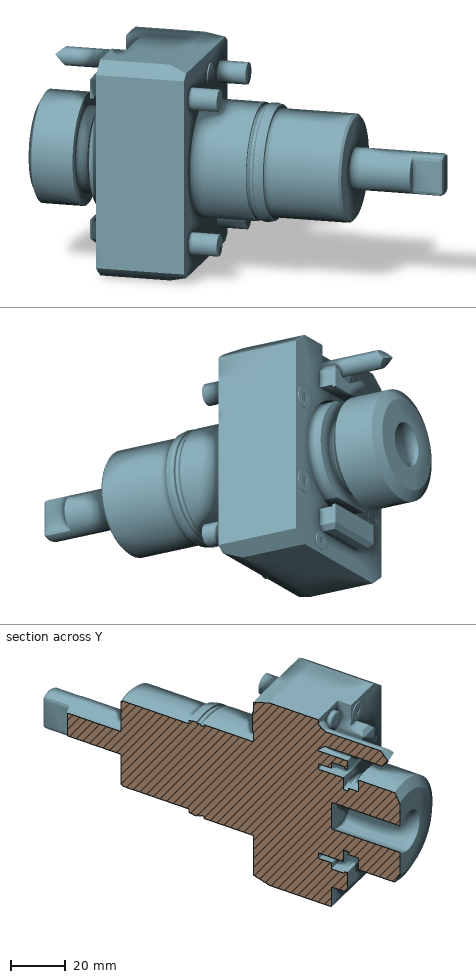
import cadquery as cq
import math


housing_width = 60.0
housing_height = 82.0
face_x = 29.2
slot_floor_x = 34.9
housing_back_x = 62.7
corner_y = 6.0
corner_z = 4.3
back_bevel_length = 6.9
back_bevel_drop = 2.2

nut_radius = 21.0
nut_face_radius = 17.0
nut_bevel_length = 2.2
nut_back_x = 17.8
neck_radius = 16.1
neck_back_x = 22.1
undercut_radius = 14.9
collar_front_x = 24.1
collar_flat_z = 18.9
bore_radius = 8.3
bore_depth = face_x

barrel_radius = 22.0
barrel_back_x = 84.0
groove_radius = 21.0
groove_length = 2.8
seal_section_radius = 0.9
seal_radius = 21.7
rim_taper_x = 88.4
rim_back_x = 90.4
rim_back_radius = 21.5
sleeve_radius = 20.1
sleeve_back_x = 119.5
sleeve_bevel = 0.9

shaft_radius = 7.8
shaft_bevel_length = 0.9
shaft_bevel_drop = 0.5
shaft_end_x = 153.7
tang_start_x = 142.5
tang_half_width = 4.0
tang_flat_half_height = 5.8
tang_edge_half_width = 3.7
tang_bevel_drop = 0.3

pin_y = 5.0
pin_z = 33.3
pin_radius = 3.5
pin_tip_x = 4.9
pin_tip_length = 3.4
pin_tip_tilt = 20
pin_flare_radius = 5.7
pin_flare_length = 2.8
pin_slot_radius = 6.3
plug_y = -3.5
plug_z = 35.0
plug_radius = 4.0
plug_height = 1.8
plug_bevel = 0.5
plug_slot_radius = 4.6

block_half_width = 13.4
block_front_x = 22.5
block_lip_z = 23.0
block_lip_length = 1.4
block_inner_z = 23.8
block_outer_z = 32.1
block_bevel = 1.8
block_bevel_depth = 1.4

screw_y = 24.5
screw_z = 16.5
screw_radius = 4.1
screw_socket_radius = 1.8
small_screw_y = 12.5
small_screw_z = 36.0
small_screw_radius = 3.5
small_socket_radius = 1.4
screw_protrusion = 0.3
stud_y = 19.8
stud_z = 27.5
stud_radius = 4.1
stud_length = 10.8
rear_plug_y = 5.8
rear_plug_z = 29.8
rear_plug_radius = 4.5
rear_plug_height = 0.5

overlap = 1.5


def plane_at(x):
    """Plane facing +X whose local axes are the global Y and Z."""
    return cq.Workplane("YZ", origin=(x, 0, 0))


def rod(x0, x1, y, z, radius):
    return plane_at(x0).center(y, z).circle(radius).extrude(x1 - x0)


def revolve_about_x(profile):
    """Turn (x, radius) points, from axis to axis, into a solid."""
    return cq.Workplane("XY").polyline(profile).close().revolve(360, (0, 0, 0), (1, 0, 0))


def make_housing():
    half_w = housing_width / 2
    half_h = housing_height / 2
    outline = [
        (half_w, half_h - corner_z),
        (half_w - corner_y, half_h),
        (corner_y - half_w, half_h),
        (-half_w, half_h - corner_z),
        (-half_w, corner_z - half_h),
        (corner_y - half_w, -half_h),
        (half_w - corner_y, -half_h),
        (half_w, corner_z - half_h),
    ]
    block = plane_at(face_x).polyline(outline).close().extrude(housing_back_x - face_x)
    side = [
        (face_x, half_h),
        (housing_back_x - back_bevel_length, half_h),
        (housing_back_x, half_h - back_bevel_drop),
        (housing_back_x, back_bevel_drop - half_h),
        (housing_back_x - back_bevel_length, -half_h),
        (face_x, -half_h),
    ]
    return block.intersect(cq.Workplane("XZ").polyline(side).close().extrude(half_w, both=True))


def make_driver_block():
    """Upper block, bevelled on its outer side, with a lip at the front of its inner side."""
    shoulder_z = block_outer_z - block_bevel
    front = [
        (-block_half_width, block_lip_z),
        (block_half_width, block_lip_z),
        (block_half_width, shoulder_z),
        (block_half_width - block_bevel, block_outer_z),
        (block_bevel - block_half_width, block_outer_z),
        (-block_half_width, shoulder_z),
    ]
    back_x = face_x + overlap
    block = plane_at(block_front_x).polyline(front).close().extrude(back_x - block_front_x)
    side = [
        (block_front_x, block_lip_z),
        (block_front_x, shoulder_z),
        (block_front_x + block_bevel_depth, block_outer_z),
        (back_x, block_outer_z),
        (back_x, block_inner_z),
        (block_front_x + block_lip_length, block_inner_z),
        (block_front_x + block_lip_length, block_lip_z),
    ]
    return block.intersect(cq.Workplane("XZ").polyline(side).close().extrude(block_half_width, both=True))


def make_slot():
    """Open-topped slot wrapped around the pin and the plug beside it."""
    dy = plug_y - pin_y
    dz = plug_z - pin_z
    tangent = math.atan2(dz, dy) + math.acos((pin_slot_radius - plug_slot_radius) / math.hypot(dy, dz))
    top_z = housing_height / 2 + overlap

    def on_circle(y, z, radius, angle):
        return (y + radius * math.cos(angle), z + radius * math.sin(angle))

    pin_mid = tangent / 2 + math.pi
    plug_mid = (tangent + math.pi) / 2
    return (
        plane_at(block_front_x)
        .moveTo(pin_y + pin_slot_radius, top_z)
        .lineTo(pin_y + pin_slot_radius, pin_z)
        .threePointArc(
            on_circle(pin_y, pin_z, pin_slot_radius, pin_mid),
            on_circle(pin_y, pin_z, pin_slot_radius, tangent),
        )
        .lineTo(*on_circle(plug_y, plug_z, plug_slot_radius, tangent))
        .threePointArc(
            on_circle(plug_y, plug_z, plug_slot_radius, plug_mid),
            (plug_y - plug_slot_radius, plug_z),
        )
        .lineTo(plug_y - plug_slot_radius, top_z)
        .close()
        .extrude(slot_floor_x - block_front_x)
    )


def make_pin():
    """Pin with a wedge-shaped tip and a flared foot on the slot floor."""
    flare_x = slot_floor_x - pin_flare_length
    back_x = slot_floor_x + overlap
    profile = [
        (pin_tip_x, 0),
        (pin_tip_x, pin_radius),
        (flare_x, pin_radius),
        (slot_floor_x, pin_flare_radius),
        (back_x, pin_flare_radius),
        (back_x, 0),
    ]
    reach = 2 * pin_flare_radius
    slope = pin_radius / pin_tip_length
    wedge = [
        (pin_tip_x, 0),
        (pin_tip_x + reach / slope, reach),
        (back_x, reach),
        (back_x, -reach),
        (pin_tip_x + reach / slope, -reach),
    ]
    envelope = cq.Workplane("XZ").polyline(wedge).close().extrude(reach, both=True)
    envelope = envelope.rotate((0, 0, 0), (1, 0, 0), -pin_tip_tilt)
    return revolve_about_x(profile).intersect(envelope).translate((0, pin_y, pin_z))


def make_nut_and_collar():
    inside_x = slot_floor_x + overlap
    nut = revolve_about_x([
        (0, 0),
        (0, nut_face_radius),
        (nut_bevel_length, nut_radius),
        (nut_back_x, nut_radius),
        (nut_back_x, neck_radius),
        (neck_back_x, neck_radius),
        (neck_back_x, undercut_radius),
        (inside_x, undercut_radius),
        (inside_x, 0),
    ])
    length = inside_x - collar_front_x
    collar = rod(collar_front_x, inside_x, 0, 0, nut_radius)
    flats = plane_at(collar_front_x).rect(2 * nut_radius, 2 * collar_flat_z).extrude(length)
    return nut.union(collar.intersect(flats))


def make_shank():
    """Stepped shank carrying a round-section seal ring in its groove."""
    inside_x = housing_back_x - overlap
    rim_front_x = barrel_back_x + groove_length
    shank = revolve_about_x([
        (inside_x, 0),
        (inside_x, barrel_radius),
        (barrel_back_x, barrel_radius),
        (barrel_back_x, groove_radius),
        (rim_front_x, groove_radius),
        (rim_front_x, barrel_radius),
        (rim_taper_x, barrel_radius),
        (rim_back_x, rim_back_radius),
        (rim_back_x, sleeve_radius),
        (sleeve_back_x - sleeve_bevel, sleeve_radius),
        (sleeve_back_x, sleeve_radius - sleeve_bevel),
        (sleeve_back_x, 0),
    ])
    seal = (
        cq.Workplane("XY")
        .center(rim_front_x - seal_section_radius, seal_radius - seal_section_radius)
        .circle(seal_section_radius)
        .revolve(360, (0, seal_section_radius - seal_radius), (1, seal_section_radius - seal_radius))
    )
    return shank.union(seal)


def make_drive_shaft():
    """Round shaft whose end is milled down to a flat tang with eased edges."""
    start_x = sleeve_back_x - overlap
    shaft = revolve_about_x([
        (start_x, 0),
        (start_x, shaft_radius),
        (shaft_end_x - shaft_bevel_length, shaft_radius),
        (shaft_end_x, shaft_radius - shaft_bevel_drop),
        (shaft_end_x, 0),
    ])
    edge_z = math.sqrt(shaft_radius**2 - tang_edge_half_width**2)
    corner = [
        (tang_half_width, tang_flat_half_height),
        (tang_edge_half_width, edge_z),
        (tang_edge_half_width, shaft_radius),
    ]
    upper = corner + [(-y, z) for y, z in reversed(corner)]
    lower = [(-y, -z) for y, z in upper]
    length = shaft_end_x - tang_start_x
    tang = plane_at(tang_start_x).polyline(upper + lower).close().extrude(length)
    bevel_x = shaft_end_x - shaft_bevel_length
    end_half_width = tang_half_width - tang_bevel_drop
    plan = [
        (tang_start_x, tang_half_width),
        (bevel_x, tang_half_width),
        (shaft_end_x, end_half_width),
        (shaft_end_x, -end_half_width),
        (bevel_x, -tang_half_width),
        (tang_start_x, -tang_half_width),
    ]
    tang = tang.intersect(cq.Workplane("XY").polyline(plan).close().extrude(shaft_radius, both=True))
    waste = plane_at(tang_start_x).circle(2 * shaft_radius).extrude(length).cut(tang)
    return shaft.cut(waste)


def add_screw(body, y, z, radius, socket_radius):
    """Screw head standing slightly proud of the front face, with a shallow hexagon socket."""
    head_x = face_x - screw_protrusion
    head = rod(head_x, face_x + overlap, y, z, radius)
    socket = plane_at(head_x).center(y, z).polygon(6, 2 * socket_radius).extrude(screw_protrusion)
    return body.union(head).cut(socket)


upper_block = make_driver_block()
body = make_housing().union(upper_block).union(upper_block.mirror("XY"))
body = body.cut(make_slot())

body = body.cut(rod(face_x, slot_floor_x, 0, 0, barrel_radius))
body = body.union(make_nut_and_collar())
body = body.cut(rod(0, bore_depth, 0, 0, bore_radius))
body = body.union(make_shank()).union(make_drive_shaft())

body = body.union(make_pin())
plug = rod(slot_floor_x - plug_height, slot_floor_x + overlap, plug_y, plug_z, plug_radius)
body = body.union(plug.faces("<X").chamfer(plug_bevel))

for side_y in (-1, 1):
    for side_z in (-1, 1):
        body = add_screw(body, side_y * screw_y, side_z * screw_z, screw_radius, screw_socket_radius)
        stud_end_x = housing_back_x + stud_length
        stud = rod(housing_back_x - overlap, stud_end_x, side_y * stud_y, side_z * stud_z, stud_radius)
        body = body.union(stud)

for side in (-1, 1):
    screw_place = (side * small_screw_y, -side * small_screw_z)
    body = add_screw(body, *screw_place, small_screw_radius, small_socket_radius)

rear_plug_end_x = housing_back_x + rear_plug_height
body = body.union(
    rod(housing_back_x - overlap, rear_plug_end_x, rear_plug_y, rear_plug_z, rear_plug_radius)
)

result = body